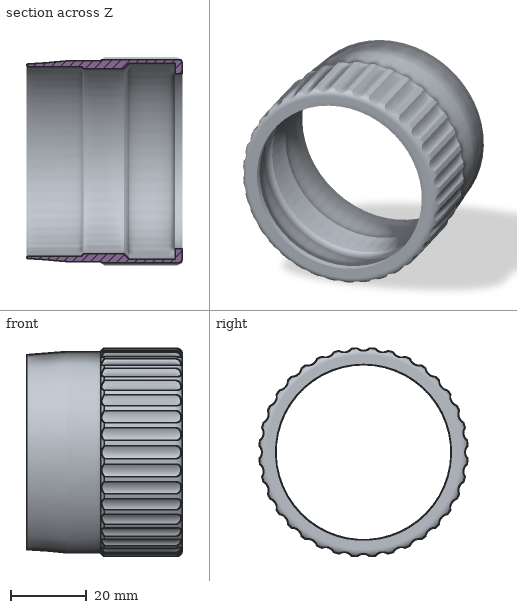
import cadquery as cq
import math

length = 41.0
taper_length = 10.5
collar_start = 19.5

nose_radius = 25.7
body_radius = 26.5
collar_radius = 27.5
collar_chamfer = collar_radius - body_radius
collar_fillet = 1.8

mouth_radius = 25.15
mouth_depth = 0.55
entry_radius = 24.9
throat_start = 14.5
throat_radius = 24.35
relief_start = 25.6
relief_radius = 25.75
throat_chamfer = entry_radius - throat_radius
relief_chamfer = relief_radius - throat_radius
lip_radius = 23.05
lip_thickness = 2.0

flute_count = 36
flute_radius = 2.45
flute_depth = 0.7


def revolve_about_x(profile):
    return profile.close().revolve(360, (0, 0, 0), (1, 0, 0))


def make_outer_body():
    fillet_start = length - collar_fillet
    fillet_centre_radius = collar_radius - collar_fillet
    fillet_mid_offset = collar_fillet * math.sqrt(0.5)
    fillet_middle = (fillet_start + fillet_mid_offset, fillet_centre_radius + fillet_mid_offset)
    return revolve_about_x(
        cq.Workplane("XZ")
        .lineTo(0, nose_radius)
        .lineTo(taper_length, body_radius)
        .lineTo(collar_start, body_radius)
        .lineTo(collar_start + collar_chamfer, collar_radius)
        .lineTo(fillet_start, collar_radius)
        .threePointArc(fillet_middle, (length, fillet_centre_radius))
        .lineTo(length, 0)
    )


def make_bore():
    lip_start = length - lip_thickness
    return revolve_about_x(
        cq.Workplane("XZ")
        .lineTo(0, mouth_radius)
        .lineTo(mouth_depth, entry_radius)
        .lineTo(throat_start, entry_radius)
        .lineTo(throat_start + throat_chamfer, throat_radius)
        .lineTo(relief_start, throat_radius)
        .lineTo(relief_start + relief_chamfer, relief_radius)
        .lineTo(lip_start, relief_radius)
        .lineTo(lip_start, lip_radius)
        .lineTo(length, lip_radius)
        .lineTo(length, 0)
    )


def make_flutes():
    flute_circle_radius = collar_radius - flute_depth + flute_radius
    return (
        cq.Workplane("YZ", origin=(collar_start, 0, 0))
        .polarArray(flute_circle_radius, 0, 360, flute_count)
        .circle(flute_radius)
        .extrude(length - collar_start)
    )


result = make_outer_body().cut(make_flutes()).cut(make_bore())